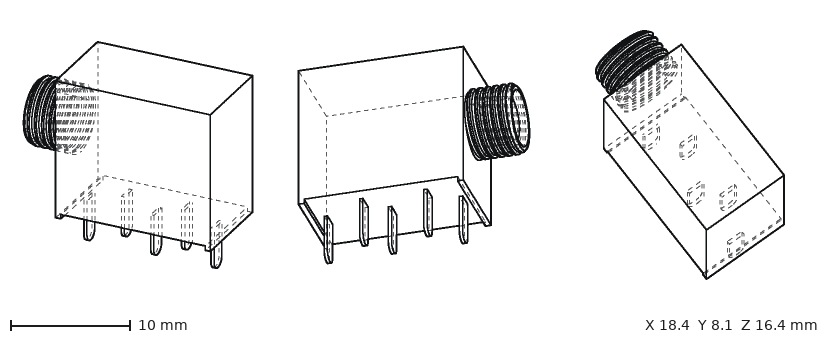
import cadquery as cq

TOTAL_LENGTH = 18.4
BARREL_LENGTH = 4.01
HOUSING_LENGTH = TOTAL_LENGTH - BARREL_LENGTH
HOUSING_WIDTH = 8.1
HOUSING_HEIGHT = 12.79
FOOT_HEIGHT = 0.4
FOOT_LENGTH = 0.5

BARREL_OFFSET_Y = 0.85
BARREL_DEPTH_FROM_TOP = 5.8
CORE_RADIUS = 2.8
BORE_RADIUS = 1.8
BORE_MOUTH_RADIUS = 2.41
BORE_CHAMFER_LENGTH = BORE_MOUTH_RADIUS - BORE_RADIUS
BORE_DEPTH = BARREL_LENGTH

THREAD_RADIUS = 3.0
THREAD_TURNS_ON_BARREL = 6
THREAD_PITCH = BARREL_LENGTH / THREAD_TURNS_ON_BARREL
THREAD_ROOT_WIDTH = 0.48
THREAD_CREST_WIDTH = 0.17
THREAD_OVERLAP = 0.04
CREST_POSITION_AT_TOP = 0.42
LEAD_CONE_RADIUS = 2.72
LEAD_CONE_LENGTH = 0.35

PIN_THICKNESS = 0.3
PIN_WIDTH = 1.5
PIN_PROTRUSION = 3.6
FIRST_PIN_FROM_FACE = 1.2
PIN_GAPS = (2.5, 3.7, 1.9, 3.7)
PIN_ROWS_Y = (0.0, 1.99)


def make_housing():
    """Box with a shallow full-width recess underneath that leaves a foot at each end."""
    box = cq.Workplane("XY").box(
        HOUSING_LENGTH, HOUSING_WIDTH, HOUSING_HEIGHT, centered=(False, True, False)
    )
    recess = (
        cq.Workplane("XY")
        .box(HOUSING_LENGTH - 2 * FOOT_LENGTH, HOUSING_WIDTH, FOOT_HEIGHT, centered=(False, True, False))
        .translate((FOOT_LENGTH, 0, 0))
    )
    return box.cut(recess).translate((BARREL_LENGTH, 0, 0))


def turned(profile):
    """Revolve a profile of (radius, distance along the axis) points about the Z axis."""
    return cq.Workplane("XZ").polyline(profile).close().revolve(360, (0, 0), (0, 1))


def make_thread():
    """Helical ridge around Z, made of ruled faces and overrunning the barrel at both ends."""
    start = CREST_POSITION_AT_TOP - 2 * THREAD_PITCH
    helix_height = (THREAD_TURNS_ON_BARREL + 2) * THREAD_PITCH
    root_radius = CORE_RADIUS - THREAD_OVERLAP
    corners = [
        (root_radius, -THREAD_ROOT_WIDTH / 2),
        (THREAD_RADIUS, -THREAD_CREST_WIDTH / 2),
        (THREAD_RADIUS, THREAD_CREST_WIDTH / 2),
        (root_radius, THREAD_ROOT_WIDTH / 2),
    ]
    edges = [
        cq.Wire.makeHelix(THREAD_PITCH, helix_height, radius, center=cq.Vector(0, 0, start + shift))
        for radius, shift in corners
    ]
    faces = [cq.Face.makeRuledSurface(edges[i - 1], edges[i]) for i in range(len(edges))]
    for end in (start, start + helix_height):
        points = [cq.Vector(radius, 0, end + shift) for radius, shift in corners]
        faces.append(cq.Face.makeFromWires(cq.Wire.makePolygon(points, close=True)))
    shell = cq.Shell.makeShell(faces)
    return cq.Workplane(cq.Solid.makeSolid(shell))


def make_barrel():
    """Threaded barrel built along Z with its mouth at Z = 0, then laid along X."""
    clearance_radius = THREAD_RADIUS + THREAD_OVERLAP
    cone_slope = (THREAD_RADIUS - LEAD_CONE_RADIUS) / LEAD_CONE_LENGTH
    cone_end = (clearance_radius - LEAD_CONE_RADIUS) / cone_slope
    envelope = turned([
        (0, 0),
        (LEAD_CONE_RADIUS, 0),
        (clearance_radius, cone_end),
        (clearance_radius, BARREL_LENGTH),
        (0, BARREL_LENGTH),
    ])
    bore = turned([
        (0, 0),
        (BORE_MOUTH_RADIUS, 0),
        (BORE_RADIUS, BORE_CHAMFER_LENGTH),
        (BORE_RADIUS, BORE_DEPTH),
        (0, BORE_DEPTH),
    ])
    core_overrun = 3 * THREAD_PITCH
    core = (
        cq.Workplane("XY")
        .workplane(offset=-core_overrun)
        .circle(CORE_RADIUS)
        .extrude(BARREL_LENGTH + 2 * core_overrun)
    )
    barrel = core.union(make_thread()).intersect(envelope).cut(bore)
    barrel = barrel.rotate((0, 0, 0), (0, 1, 0), 90).rotate((0, 0, 0), (1, 0, 0), 180)
    return barrel.translate((0, BARREL_OFFSET_Y, HOUSING_HEIGHT - BARREL_DEPTH_FROM_TOP))


def make_pin(x, y):
    """Blade hanging from the recessed floor, centred on the given X and Y."""
    half_width = PIN_WIDTH / 2
    tip_z = -PIN_PROTRUSION
    return (
        cq.Workplane("YZ")
        .moveTo(y - half_width, FOOT_HEIGHT)
        .lineTo(y - half_width, tip_z + half_width)
        .threePointArc((y, tip_z), (y + half_width, tip_z + half_width))
        .lineTo(y + half_width, FOOT_HEIGHT)
        .close()
        .extrude(PIN_THICKNESS / 2, both=True)
        .translate((x, 0, 0))
    )


result = make_housing().union(make_barrel())

for index in range(len(PIN_GAPS) + 1):
    pin_x = BARREL_LENGTH + FIRST_PIN_FROM_FACE + sum(PIN_GAPS[:index])
    pin_y = PIN_ROWS_Y[index % len(PIN_ROWS_Y)]
    result = result.union(make_pin(pin_x, pin_y))